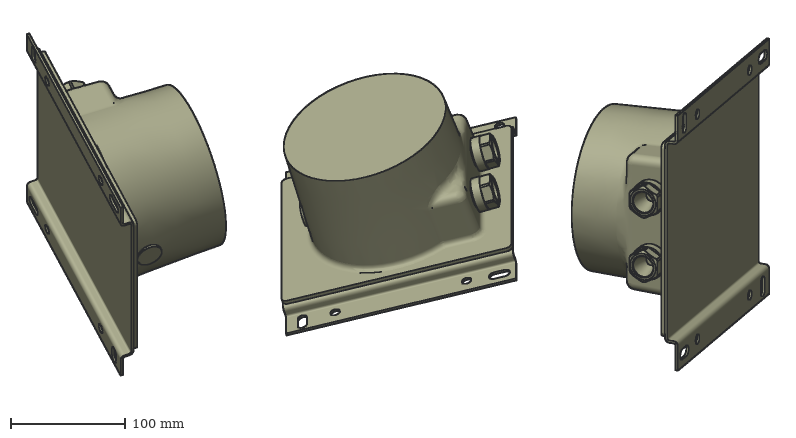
import cadquery as cq
import math


WIDTH = 210.0
HEIGHT = 238.0
SHEET = 2.4
PLATE_FRONT = 10.0
LEG_INNER_Z = 91.9
BEND_INNER = 2.0
BEND_OUTER = BEND_INNER + SHEET
PLATE_BACK = PLATE_FRONT + SHEET

HOLE_DIAMETER = 8.5
HOLE_X = 60.0
HOLE_Z = 105.0
SLOT_X = 90.0
SLOT_Z = 107.0
UPRIGHT_SLOT_LENGTH = 18.0
UPRIGHT_SLOT_WIDTH = 8.5
LEVEL_SLOT_LENGTH = 19.0
LEVEL_SLOT_WIDTH = 9.5

DRAFT = 2.0
DEPTH = 113.5
FLANGE_HEIGHT = 180.5
FLANGE_CORNER = 5.0
FLANGE_BACK = 16.0
END_RADIUS = 74.0
BASE_FILLET = 5.0

BULGE_TOP = 63.0
BULGE_HALF_HEIGHT = 64.5
BULGE_FILLET = 7.9

GLAND_Y = 36.0
GLAND_Z = 30.0
NECK_DIAMETER = 21.2
NECK_LENGTH = 2.0
COLLAR_DIAMETER = 30.5
COLLAR_LENGTH = 8.0
HEX_FLATS = 27.0
HEX_ROUND_DIAMETER = 30.0
HEX_LENGTH = 10.0
HEX_TURN = 30.0
MOUTH_DIAMETER = 24.5
MOUTH_CHAMFER = 1.5
BORE_DIAMETER = 19.0
BORE_RIM = 0.7
BORE_FLOOR_DIAMETER = 9.5
BORE_DEPTH = 17.8

PLUG_Y = 39.0
PLUG_DIAMETER = 23.3
PLUG_SEAT_X = 73.8
PLUG_THICKNESS = 4.3

TOLERANCE = 0.02


def cone_radius(y):
    """Radius of the drafted dome at depth y."""
    return END_RADIUS + (DEPTH - y) * math.tan(math.radians(DRAFT))


def make_bracket_end():
    """Upper joggled end of the bracket: bend, short leg, bend back and the mounting tab."""
    tab_end = HEIGHT / 2
    leg_outer_z = LEG_INNER_Z + SHEET
    plate_bend_y = PLATE_FRONT - BEND_INNER
    plate_bend_z = LEG_INNER_Z - BEND_INNER
    tab_bend_y = BEND_OUTER
    tab_bend_z = leg_outer_z + BEND_INNER
    inner_mid = BEND_INNER * math.sqrt(0.5)
    outer_mid = BEND_OUTER * math.sqrt(0.5)
    return (
        cq.Workplane("YZ", origin=(-WIDTH / 2, 0, 0))
        .moveTo(PLATE_FRONT, plate_bend_z)
        .threePointArc((plate_bend_y + inner_mid, plate_bend_z + inner_mid),
                       (plate_bend_y, LEG_INNER_Z))
        .lineTo(tab_bend_y, LEG_INNER_Z)
        .threePointArc((tab_bend_y - outer_mid, tab_bend_z - outer_mid), (0, tab_bend_z))
        .lineTo(0, tab_end)
        .lineTo(SHEET, tab_end)
        .lineTo(SHEET, tab_bend_z)
        .threePointArc((tab_bend_y - inner_mid, tab_bend_z - inner_mid),
                       (tab_bend_y, leg_outer_z))
        .lineTo(plate_bend_y, leg_outer_z)
        .threePointArc((plate_bend_y + outer_mid, plate_bend_z + outer_mid),
                       (PLATE_BACK, plate_bend_z))
        .close()
        .extrude(WIDTH)
    )


def make_tab_openings():
    """Cutters for the round holes and the slots, longer than the tabs are thick."""
    face = cq.Workplane("XZ", origin=(0, SHEET, 0))
    holes = (
        face.rect(2 * HOLE_X, 2 * HOLE_Z, forConstruction=True)
        .vertices()
        .circle(HOLE_DIAMETER / 2)
        .extrude(2 * SHEET)
    )
    level_slots = (
        face.pushPoints([(SLOT_X, SLOT_Z), (-SLOT_X, -SLOT_Z)])
        .slot2D(LEVEL_SLOT_LENGTH, LEVEL_SLOT_WIDTH)
        .extrude(2 * SHEET)
    )
    upright_slots = (
        face.pushPoints([(-SLOT_X, SLOT_Z), (SLOT_X, -SLOT_Z)])
        .slot2D(UPRIGHT_SLOT_LENGTH, UPRIGHT_SLOT_WIDTH, 90)
        .extrude(2 * SHEET)
    )
    return holes.add(level_slots).add(upright_slots)


def make_bracket():
    """Middle plate with a joggled tab at each end."""
    plate = (
        cq.Workplane("XZ", origin=(0, PLATE_BACK, 0))
        .rect(WIDTH, 2 * (LEG_INNER_Z - BEND_INNER))
        .extrude(SHEET)
    )
    end = make_bracket_end()
    bracket = plate.union(end).union(end.mirror("XY"))
    for opening in make_tab_openings().vals():
        bracket = bracket.cut(opening)
    return bracket


def make_bulge():
    """Drafted block whose -X face is tangent to the dome; its inner end lies inside the dome."""
    length = cone_radius(FLANGE_BACK)
    block = (
        cq.Workplane("XZ", origin=(0, FLANGE_BACK, 0))
        .center(-length / 2, 0)
        .rect(length, 2 * BULGE_HALF_HEIGHT)
        .extrude(-(BULGE_TOP - FLANGE_BACK), taper=DRAFT)
    )
    return block.faces("<X").edges("not |Z").fillet(BULGE_FILLET)


def is_bulge_edge(edge):
    """True for the rim of the bulge's rear face and for the joint between bulge and dome."""
    box = edge.BoundingBox()
    on_rear_face = box.ymin > BULGE_TOP - TOLERANCE and box.ymax < BULGE_TOP + TOLERANCE
    return on_rear_face or edge.geomType() == "PARABOLA"


def make_housing():
    """Drafted dome with its cable-entry bulge, square flange and a recess for the plug."""
    dome = (
        cq.Workplane("XY")
        .moveTo(0, FLANGE_BACK)
        .lineTo(cone_radius(FLANGE_BACK), FLANGE_BACK)
        .lineTo(END_RADIUS, DEPTH)
        .lineTo(0, DEPTH)
        .close()
        .revolve(360, (0, 0, 0), (0, 1, 0))
    )
    body = dome.union(make_bulge())
    bulge_edges = [edge for edge in body.edges().vals() if is_bulge_edge(edge)]
    body = body.newObject(bulge_edges).fillet(BULGE_FILLET)

    flange = (
        cq.Workplane("XZ", origin=(0, PLATE_BACK, 0))
        .rect(WIDTH, FLANGE_HEIGHT)
        .extrude(-(FLANGE_BACK - PLATE_BACK))
        .edges("|Y").fillet(FLANGE_CORNER)
    )
    body = body.union(flange)
    reach = END_RADIUS + 2 * BASE_FILLET
    base_edges = body.edges(cq.selectors.BoxSelector(
        (-reach, FLANGE_BACK - TOLERANCE, -reach), (reach, FLANGE_BACK + TOLERANCE, reach)))
    body = base_edges.fillet(BASE_FILLET)

    return body.cut(make_plug())


def make_gland(z):
    """Neck, collar, hexagon and tapered bore along +Z, then stood on the drafted -X face."""
    collar_end = NECK_LENGTH + COLLAR_LENGTH
    tip = collar_end + HEX_LENGTH
    neck = cq.Workplane("XY").circle(NECK_DIAMETER / 2).extrude(collar_end)
    collar = (
        cq.Workplane("XY", origin=(0, 0, NECK_LENGTH))
        .circle(COLLAR_DIAMETER / 2)
        .extrude(COLLAR_LENGTH)
    )
    hexagon = (
        cq.Workplane("XY", origin=(0, 0, collar_end))
        .polygon(6, HEX_FLATS, circumscribed=True)
        .extrude(HEX_LENGTH)
        .rotate((0, 0, 0), (0, 0, 1), HEX_TURN)
    )
    hex_envelope = (
        cq.Workplane("XZ")
        .moveTo(0, collar_end)
        .lineTo(HEX_ROUND_DIAMETER / 2, collar_end)
        .lineTo(HEX_ROUND_DIAMETER / 2, tip - MOUTH_CHAMFER)
        .lineTo(MOUTH_DIAMETER / 2, tip)
        .lineTo(0, tip)
        .close()
        .revolve(360, (0, 0, 0), (0, 1, 0))
    )
    bore = (
        cq.Workplane("XZ")
        .moveTo(0, tip)
        .lineTo(BORE_DIAMETER / 2 + BORE_RIM, tip)
        .lineTo(BORE_DIAMETER / 2, tip - BORE_RIM)
        .lineTo(BORE_FLOOR_DIAMETER / 2, tip - BORE_DEPTH)
        .lineTo(0, tip - BORE_DEPTH)
        .close()
        .revolve(360, (0, 0, 0), (0, 1, 0))
    )
    gland = neck.union(collar).union(hexagon.intersect(hex_envelope)).cut(bore)
    return (
        gland
        .rotate((0, 0, 0), (0, 1, 0), -90)
        .rotate((0, 0, 0), (0, 0, 1), -DRAFT)
        .translate((-cone_radius(GLAND_Y), GLAND_Y, z))
    )


def make_plug():
    """Round plug standing proud of the dome on the +X side."""
    return (
        cq.Workplane("YZ", origin=(PLUG_SEAT_X, PLUG_Y, 0))
        .circle(PLUG_DIAMETER / 2)
        .extrude(PLUG_THICKNESS)
    )


bracket = make_bracket()
housing = make_housing()
glands = [make_gland(z) for z in (GLAND_Z, -GLAND_Z)]
plug = make_plug()

result = cq.Compound.makeCompound([
    bracket.val(),
    housing.val(),
    *[gland.val() for gland in glands],
    plug.val(),
])